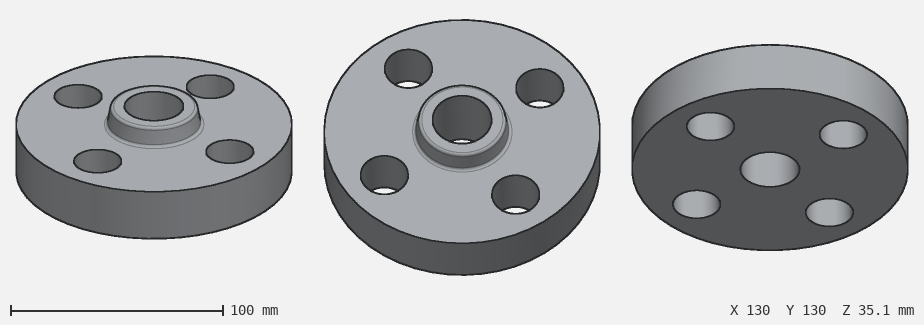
import cadquery as cq
import math

flange_diameter = 130.0
flange_thickness = 25.5

total_height = 35.1
hub_base_radius = 22.1
hub_taper_angle = 10.0
hub_fillet_radius = 1.5

bore_diameter = 27.8
bolt_hole_diameter = 22.4
bolt_circle_radius = 44.5
bolt_hole_count = 4

hub_height = total_height - flange_thickness
hub_top_radius = hub_base_radius - hub_height * math.tan(math.radians(hub_taper_angle))


def make_body():
    """Revolve the disc and its tapered hub about the Z axis."""
    flange_radius = flange_diameter / 2
    profile = (
        cq.Workplane("XZ")
        .lineTo(flange_radius, 0)
        .lineTo(flange_radius, flange_thickness)
        .lineTo(hub_base_radius, flange_thickness)
        .lineTo(hub_top_radius, total_height)
        .lineTo(0, total_height)
        .close()
    )
    return profile.revolve(360, (0, 0, 0), (0, 1, 0))


def round_hub(body):
    """Round the hub's top rim and its root on the flange face."""
    top_rim = cq.selectors.RadiusNthSelector(0)
    hub_root = cq.selectors.RadiusNthSelector(1)
    hub_circles = body.edges("%CIRCLE")
    hub_edges = hub_circles.edges(top_rim).add(hub_circles.edges(hub_root))
    return hub_edges.fillet(hub_fillet_radius)


def cut_holes(body):
    """Cut the central bore and the ring of bolt holes."""
    bore = cq.Workplane("XY").circle(bore_diameter / 2).extrude(total_height)
    bolt_holes = (
        cq.Workplane("XY")
        .polarArray(bolt_circle_radius, 0, 360, bolt_hole_count)
        .circle(bolt_hole_diameter / 2)
        .extrude(flange_thickness)
    )
    return body.cut(bore).cut(bolt_holes)


result = cut_holes(round_hub(make_body()))